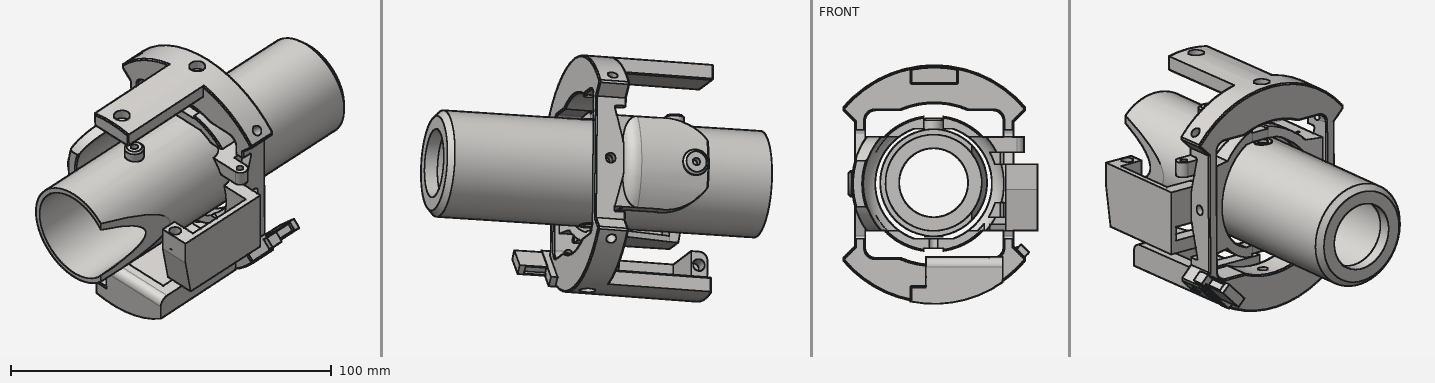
import cadquery as cq
import math


TUBE_RADIUS = 16.7
TUBE_FRONT = -54.8
TUBE_BACK = 50.2
TUBE_BORE_RADIUS = 15.0
TUBE_MOUTH_RADIUS = 10.7
TUBE_END_WALL = 4.2
TUBE_END_CHAMFER = 1.9
SCARF_X = 11.9
SCARF_END_Y = -29.2
PIVOT_PAD_RADIUS = 2.8
PIVOT_PAD_REACH = 16.8
STUD_Y = -27.9
STUD_RADIUS = 3.0
STUD_TOP = 20.2
STUD_CHAMFER = 0.6
STUD_HOLE_RADIUS = 1.2
STUD_HOLE_DEPTH = 3.2
PIVOT_HOLE_RADIUS = 1.6

CRADLE_DROP = 0.3
RING_OUTER = 21.2
RING_INNER = 18.2
RING_FLAT = 17.1
RING_NOTCH_FLOOR = 20.2
RING_NOTCH_WIDTH = 6.1
RING_GROOVE_RADIUS = 1.4
CHEEK_X = 20.9
RING_FRONT = -4.8
RING_BACK_CENTRE = -1.5
RING_BACK_SIDE = 3.4
RING_EDGE_CHAMFER = 0.4
CRADLE_HALF_HEIGHT = 14.6

SHELL_OUTER = 25.5
SHELL_INNER = 21.9
SHELL_SHOULDER = 4.9
FLARE_RADIUS = 6.6
WING_TIP_Y = -31.8
WING_STRAIGHT_Y = -16.6
WING_TIP_HALF_HEIGHT = 7.1
WING_CURVE_Y = -28.4
WING_CURVE_HALF_HEIGHT = 11.1
WING_TIP_CHAMFER = 0.4
KNOB_Y = -27.3
KNOB_RADIUS = 4.1
KNOB_FACE = 26.6
KNOB_CHAMFER = 0.8
KNOB_HOLE_DEPTH = 3.2

TRAY_OUTER_X = 32.4
TRAY_TOP = 6.1
TRAY_FRONT = -38.1
TRAY_WALL = 1.9
TRAY_PAD_X = 22.5
TRAY_ROOT_X = 15.8
TRAY_FLOOR_X = 17.5
REAR_PAD_BOTTOM = -5.9
REAR_SILL_HEIGHT = 4.2
REAR_PAD_FRONT = -9.5
FRONT_PAD_BACK = -32.9
PAD_HOLE_RADIUS = 1.9
PAD_HOLE_DEPTH = 6.3
TRAY_HOLE_X = 25.7
TRAY_HOLE_Y = -35.9
FRONT_SLOPE_TOP = -1.7
FRONT_SLOPE_RUN = 2.3
EAR_THICKNESS = 4.8
EAR_ROOT_X = 12.6
EAR_END_X = 28.2
EAR_HOLE_RADIUS = 1.0

FRAME_X = 0.2
FRAME_Z = -0.4
FRAME_TILT = 0.5
FRAME_RADIUS = 37.1
FRAME_HALF_DEPTH = 4.9
LUG_X = 28.4
LUG_TIP = 0.8
BAR_OUTER = 24.8
BAR_INNER = 21.5
WINDOW_HALF_HEIGHT = 23.0
WINDOW_FILLET = 3.2
RELIEF_HALF_WIDTH = 10.6
RELIEF_TOP = 25.2
FRAME_CHAMFER = 0.4
BAR_NOTCH_HALF_HEIGHT = 17.0
BAR_NOTCH_Y = -1.0
BAR_CREST_Y = -4.2
BAR_CREST_HALF_HEIGHT = 5.0
BAR_NOTCH_FILLET = 0.7
ARM_HALF_WIDTH = 7.5
ARM_FRONT = -38.2
UPPER_ARM_BOTTOM = 31.5
LOWER_ARM_TOP = -31.6
BLOCK_LEFT = -2.6
BLOCK_RIGHT = 21.3
BLOCK_TOP = -22.6
BLOCK_WALL = 4.2
BLOCK_FILLET = 2.8
BLOCK_HOLE_Z = -26.9
BLOCK_HOLE_YS = (-7.0, -35.4)
COUNTERBORE_RADIUS = 2.5
COUNTERBORE_DEPTH = 3.2
ARM_HOLE_Y = -33.4
SIDE_HOLE_RADIUS = 1.6

LUG_ANGLE = 45.0
PLUG_FRONT = 3.3
PLUG_FLANGE_BACK = 7.4
PLUG_BACK = 16.5
PLUG_X = 23.2
PLUG_Z = -25.8
FLANGE_WIDTH = 3.6
FLANGE_LENGTH = 15.2
PLUG_WIDTH = 3.4
PLUG_LENGTH = 8.6
PLUG_SHIFT_IN = 0.4
PLUG_SHIFT_ALONG = 1.9
PLUG_RECESS_DEPTH = 1.3
PLUG_RECESS_WIDTH = 2.5
PLUG_RECESS_BACK = 14.5

REACH = 84.0


def box(x0, x1, y0, y1, z0, z1):
    return cq.Workplane("XY").box(x1 - x0, y1 - y0, z1 - z0, centered=False).translate((x0, y0, z0))


def rod(radius, start, direction, length):
    return cq.Workplane(cq.Solid.makeCylinder(radius, length, cq.Vector(*start), cq.Vector(*direction)))


def disc_y(radius, y0, y1):
    return rod(radius, (0, y0, 0), (0, 1, 0), y1 - y0)


def make_tube():
    tube = disc_y(TUBE_RADIUS, TUBE_FRONT, TUBE_BACK).faces(">Y").chamfer(TUBE_END_CHAMFER)
    pads = rod(PIVOT_PAD_RADIUS, (0, 0, -PIVOT_PAD_REACH), (0, 0, 1), 2 * PIVOT_PAD_REACH)
    stud = rod(STUD_RADIUS, (0, STUD_Y, 0), (0, 0, 1), STUD_TOP).faces(">Z").chamfer(STUD_CHAMFER)
    tube = tube.union(pads).union(stud)

    tube = tube.cut(disc_y(TUBE_BORE_RADIUS, TUBE_FRONT, TUBE_BACK - TUBE_END_WALL))
    tube = tube.cut(disc_y(TUBE_MOUTH_RADIUS, TUBE_FRONT, TUBE_BACK))
    scarf = (
        cq.Workplane("XY")
        .moveTo(SCARF_X, TUBE_FRONT)
        .lineTo(TUBE_RADIUS, SCARF_END_Y)
        .lineTo(REACH, SCARF_END_Y)
        .lineTo(REACH, TUBE_FRONT)
        .close()
        .extrude(REACH, both=True)
    )
    tube = tube.cut(scarf)
    tube = tube.cut(rod(PIVOT_HOLE_RADIUS, (0, 0, -REACH / 2), (0, 0, 1), REACH))
    return tube.cut(rod(STUD_HOLE_RADIUS, (0, STUD_Y, STUD_TOP), (0, 0, -1), STUD_HOLE_DEPTH))


def ring_bore():
    """Round bore with a flat above and below."""
    between_flats = box(-REACH, REACH, -REACH, REACH, -RING_FLAT, RING_FLAT)
    return disc_y(RING_INNER, -REACH, REACH).intersect(between_flats)


def flare():
    """Rounded widening from the ring bore to the inside of the shell, over the cradle height."""
    centre_r = SHELL_INNER - FLARE_RADIUS
    start_angle = math.acos((RING_INNER - centre_r) / FLARE_RADIUS)

    def on_arc(angle):
        return centre_r + FLARE_RADIUS * math.cos(angle), REAR_PAD_FRONT + FLARE_RADIUS * math.sin(angle)

    start = on_arc(start_angle)
    turned = (
        cq.Workplane("XY")
        .moveTo(0, start[1])
        .lineTo(*start)
        .threePointArc(on_arc(start_angle / 2), on_arc(0))
        .lineTo(0, REAR_PAD_FRONT)
        .close()
        .revolve(360, (0, 0), (0, 1))
    )
    height = box(-REACH, REACH, -REACH, REACH, -CRADLE_HALF_HEIGHT, CRADLE_HALF_HEIGHT)
    return turned.intersect(height)


def make_ring():
    ring = disc_y(RING_OUTER, RING_FRONT, RING_BACK_SIDE).faces("<Y").chamfer(RING_EDGE_CHAMFER)
    cheeks = box(-CHEEK_X, CHEEK_X, RING_FRONT, RING_BACK_SIDE, -CRADLE_HALF_HEIGHT, CRADLE_HALF_HEIGHT)
    ring = ring.union(cheeks)
    half_notch = RING_NOTCH_WIDTH / 2
    plan_outline = (
        cq.Workplane("XY")
        .moveTo(-REACH, RING_FRONT)
        .lineTo(REACH, RING_FRONT)
        .lineTo(REACH, RING_BACK_SIDE)
        .lineTo(CHEEK_X, RING_BACK_SIDE)
        .lineTo(half_notch, RING_BACK_CENTRE)
        .lineTo(-half_notch, RING_BACK_CENTRE)
        .lineTo(-CHEEK_X, RING_BACK_SIDE)
        .lineTo(-REACH, RING_BACK_SIDE)
        .close()
        .extrude(REACH, both=True)
    )
    ring = ring.intersect(plan_outline)
    for side in (1, -1):
        notch_floor = sorted((side * RING_NOTCH_FLOOR, side * REACH))
        ring = ring.cut(box(-half_notch, half_notch, -REACH, REACH, *notch_floor))
    ring = ring.cut(rod(RING_GROOVE_RADIUS, (0, RING_FRONT, 0), (0, 0, -1), REACH))
    return ring.cut(rod(SIDE_HOLE_RADIUS, (-REACH / 2, 0, 0), (1, 0, 0), REACH))


def make_wing():
    turn = SHELL_SHOULDER * (1 - math.sqrt(0.5))
    shell = (
        cq.Workplane("XY")
        .moveTo(RING_INNER, RING_FRONT)
        .lineTo(SHELL_OUTER - SHELL_SHOULDER, RING_FRONT)
        .threePointArc((SHELL_OUTER - turn, RING_FRONT - turn), (SHELL_OUTER, RING_FRONT - SHELL_SHOULDER))
        .lineTo(SHELL_OUTER, WING_TIP_Y)
        .lineTo(SHELL_INNER, WING_TIP_Y)
        .lineTo(SHELL_INNER, REAR_PAD_FRONT)
        .lineTo(RING_INNER, REAR_PAD_FRONT)
        .close()
        .revolve(360, (0, 0), (0, 1))
    )
    knob_base = (SHELL_INNER + SHELL_OUTER) / 2
    knob = (
        rod(KNOB_RADIUS, (-knob_base, KNOB_Y, 0), (-1, 0, 0), KNOB_FACE - knob_base)
        .faces("<X")
        .chamfer(KNOB_CHAMFER)
    )
    outline = (
        cq.Workplane("YZ")
        .moveTo(RING_FRONT, -CRADLE_HALF_HEIGHT)
        .lineTo(WING_STRAIGHT_Y, -CRADLE_HALF_HEIGHT)
        .threePointArc((WING_CURVE_Y, -WING_CURVE_HALF_HEIGHT), (WING_TIP_Y, -WING_TIP_HALF_HEIGHT))
        .lineTo(WING_TIP_Y, WING_TIP_HALF_HEIGHT)
        .threePointArc((WING_CURVE_Y, WING_CURVE_HALF_HEIGHT), (WING_STRAIGHT_Y, CRADLE_HALF_HEIGHT))
        .lineTo(RING_FRONT, CRADLE_HALF_HEIGHT)
        .close()
        .extrude(-REACH)
    )
    root = box(-CHEEK_X, -RING_INNER, REAR_PAD_FRONT, RING_FRONT, -CRADLE_HALF_HEIGHT, CRADLE_HALF_HEIGHT)
    wing = shell.intersect(outline)
    wing = wing.faces("<Y").edges("%CIRCLE").chamfer(WING_TIP_CHAMFER).union(root).union(knob)
    return wing.cut(rod(STUD_HOLE_RADIUS, (-KNOB_FACE, KNOB_Y, 0), (1, 0, 0), KNOB_HOLE_DEPTH))


def make_tray():
    bottom = -CRADLE_HALF_HEIGHT
    floor = (
        cq.Workplane("XY", origin=(0, 0, bottom))
        .polyline(
            [
                (TRAY_ROOT_X, RING_FRONT),
                (TRAY_OUTER_X, RING_FRONT),
                (TRAY_OUTER_X, TRAY_FRONT),
                (TRAY_PAD_X, TRAY_FRONT),
                (TRAY_PAD_X, FRONT_PAD_BACK),
                (TRAY_FLOOR_X, REAR_PAD_FRONT),
                (TRAY_ROOT_X, REAR_PAD_FRONT),
            ]
        )
        .close()
        .extrude(TRAY_WALL)
    )
    outer_wall = box(TRAY_OUTER_X - TRAY_WALL, TRAY_OUTER_X, TRAY_FRONT, RING_FRONT, bottom, TRAY_TOP)
    rear_pad = box(TRAY_ROOT_X, TRAY_OUTER_X, REAR_PAD_FRONT, RING_FRONT, REAR_PAD_BOTTOM, TRAY_TOP)
    sill = box(TRAY_ROOT_X, TRAY_OUTER_X, REAR_PAD_FRONT, RING_FRONT, bottom, bottom + REAR_SILL_HEIGHT)
    front_pad = box(TRAY_PAD_X, TRAY_OUTER_X, TRAY_FRONT, FRONT_PAD_BACK, bottom, TRAY_TOP)
    pad_hole = rod(PAD_HOLE_RADIUS, (TRAY_HOLE_X, TRAY_HOLE_Y, TRAY_TOP), (0, 0, -1), PAD_HOLE_DEPTH)
    front_pad = front_pad.cut(pad_hole)
    tray = floor.union(outer_wall).union(rear_pad).union(sill).union(front_pad)
    slope = (
        cq.Workplane("YZ")
        .polyline([(TRAY_FRONT, FRONT_SLOPE_TOP), (TRAY_FRONT, bottom), (TRAY_FRONT + FRONT_SLOPE_RUN, bottom)])
        .close()
        .extrude(REACH)
    )
    tray = tray.cut(slope)

    ear_radius = (RING_FRONT - REAR_PAD_FRONT) / 2
    ear_y = (RING_FRONT + REAR_PAD_FRONT) / 2
    ear_bottom = CRADLE_HALF_HEIGHT - EAR_THICKNESS
    ear_end_centre = EAR_END_X - ear_radius
    ear = box(EAR_ROOT_X, ear_end_centre, REAR_PAD_FRONT, RING_FRONT, ear_bottom, CRADLE_HALF_HEIGHT)
    ear = ear.union(rod(ear_radius, (ear_end_centre, ear_y, ear_bottom), (0, 0, 1), EAR_THICKNESS))
    ear = ear.cut(rod(EAR_HOLE_RADIUS, (TRAY_HOLE_X, ear_y, ear_bottom), (0, 0, 1), EAR_THICKNESS))
    return tray.union(ear)


def make_cradle():
    cradle = make_ring().union(make_wing()).union(make_tray())
    cradle = cradle.cut(ring_bore()).cut(flare())
    return cradle.translate((0, 0, -CRADLE_DROP))


def frame_outline():
    tip_z = math.sqrt(FRAME_RADIUS**2 - LUG_X**2)
    lug_root = tip_z - LUG_TIP - (LUG_X - BAR_OUTER)
    return (
        cq.Workplane("XZ", origin=(0, FRAME_HALF_DEPTH, 0))
        .moveTo(-LUG_X, tip_z)
        .threePointArc((0, FRAME_RADIUS), (LUG_X, tip_z))
        .lineTo(LUG_X, tip_z - LUG_TIP)
        .lineTo(BAR_OUTER, lug_root)
        .lineTo(BAR_OUTER, -lug_root)
        .lineTo(LUG_X, LUG_TIP - tip_z)
        .lineTo(LUG_X, -tip_z)
        .threePointArc((0, -FRAME_RADIUS), (-LUG_X, -tip_z))
        .lineTo(-LUG_X, LUG_TIP - tip_z)
        .lineTo(-BAR_OUTER, -lug_root)
        .lineTo(-BAR_OUTER, lug_root)
        .lineTo(-LUG_X, tip_z - LUG_TIP)
        .close()
        .extrude(2 * FRAME_HALF_DEPTH)
    )


def frame_window():
    window = box(-BAR_INNER, BAR_INNER, -REACH, REACH, -WINDOW_HALF_HEIGHT, WINDOW_HALF_HEIGHT)
    window = window.edges("|Y").fillet(WINDOW_FILLET)
    rise = RELIEF_TOP - WINDOW_HALF_HEIGHT
    relief_radius = (RELIEF_HALF_WIDTH**2 + rise**2) / (2 * rise)
    for side in (1, -1):
        relief = disc_y(relief_radius, -REACH, REACH).translate((0, 0, side * (RELIEF_TOP - relief_radius)))
        half = box(-BAR_INNER, BAR_INNER, -REACH, REACH, *sorted((0, side * REACH)))
        window = window.union(relief.intersect(half))
    return window


def bar_notch():
    """Material removed in front of the side bars, leaving a crest at the pivot."""
    return (
        cq.Workplane("YZ")
        .polyline(
            [
                (-REACH, -BAR_NOTCH_HALF_HEIGHT),
                (BAR_NOTCH_Y, -BAR_NOTCH_HALF_HEIGHT),
                (BAR_CREST_Y, -BAR_CREST_HALF_HEIGHT),
                (BAR_CREST_Y, BAR_CREST_HALF_HEIGHT),
                (BAR_NOTCH_Y, BAR_NOTCH_HALF_HEIGHT),
                (-REACH, BAR_NOTCH_HALF_HEIGHT),
            ]
        )
        .close()
        .extrude(REACH, both=True)
        .edges("|X and >Y")
        .fillet(BAR_NOTCH_FILLET)
    )


def make_upper_arm():
    arm = box(-ARM_HALF_WIDTH, ARM_HALF_WIDTH, ARM_FRONT, 0, UPPER_ARM_BOTTOM, REACH)
    arm = arm.intersect(disc_y(FRAME_RADIUS, -REACH, REACH))
    arm = arm.edges("<Y or (|Y and <Z)").chamfer(FRAME_CHAMFER)
    return arm.cut(rod(COUNTERBORE_RADIUS, (0, ARM_HOLE_Y, FRAME_RADIUS), (0, 0, -1), COUNTERBORE_DEPTH))


def make_lower_arm():
    arm = box(-ARM_HALF_WIDTH, BLOCK_RIGHT, ARM_FRONT, 0, -REACH, LOWER_ARM_TOP)
    arm = arm.edges("(>Z and (<X or <Y)) or (<X and <Y)").chamfer(FRAME_CHAMFER)
    block = box(BLOCK_LEFT, BLOCK_RIGHT, ARM_FRONT, -FRAME_HALF_DEPTH, -REACH, BLOCK_TOP)
    block = block.edges("<Y and >Z").fillet(BLOCK_FILLET)
    pocket = box(BLOCK_LEFT, BLOCK_RIGHT - BLOCK_WALL, FRONT_PAD_BACK, REAR_PAD_FRONT, LOWER_ARM_TOP, 0)
    block = block.cut(pocket)
    for y in BLOCK_HOLE_YS:
        block = block.cut(rod(PAD_HOLE_RADIUS, (BLOCK_LEFT, y, BLOCK_HOLE_Z), (1, 0, 0), PAD_HOLE_DEPTH))
    return arm.union(block).intersect(disc_y(FRAME_RADIUS, -REACH, REACH))


def make_frame():
    frame = frame_outline().cut(frame_window()).faces("<Y or >Y").edges().chamfer(FRAME_CHAMFER)
    frame = frame.cut(bar_notch()).union(make_upper_arm()).union(make_lower_arm())
    for side in (1, -1):
        rim = (0, 0, side * FRAME_RADIUS)
        inward = (0, 0, -side)
        frame = frame.cut(rod(PIVOT_HOLE_RADIUS, rim, inward, FRAME_RADIUS))
        frame = frame.cut(rod(COUNTERBORE_RADIUS, rim, inward, COUNTERBORE_DEPTH))
        frame = frame.cut(rod(SIDE_HOLE_RADIUS, (0, 0, 0), (side, 0, 0), REACH))
        for lug in (1, -1):
            frame = frame.cut(rod(PIVOT_HOLE_RADIUS, (0, 0, 0), (lug, 0, side), REACH))
    return frame.rotate((0, 0, 0), (1, 0, 0), FRAME_TILT).translate((FRAME_X, 0, FRAME_Z))


def make_connector():
    half_flange = FLANGE_WIDTH / 2
    half_span = FLANGE_LENGTH / 2
    flange = box(-half_flange, half_flange, PLUG_FRONT, PLUG_FLANGE_BACK, -half_span, half_span)
    half_width = PLUG_WIDTH / 2
    half_recess = PLUG_RECESS_WIDTH / 2
    half_length = PLUG_LENGTH / 2
    plug = box(-half_width, half_width, PLUG_FLANGE_BACK, PLUG_BACK, -half_length, half_length)
    for side in (1, -1):
        ends = sorted((side * (half_length - PLUG_RECESS_DEPTH), side * half_length))
        plug = plug.cut(box(-half_recess, half_recess, PLUG_FLANGE_BACK, PLUG_RECESS_BACK, *ends))
    connector = flange.union(plug.translate((-PLUG_SHIFT_IN, 0, PLUG_SHIFT_ALONG)))
    return connector.rotate((0, 0, 0), (0, 1, 0), LUG_ANGLE).translate((PLUG_X, 0, PLUG_Z))


tube = make_tube().solids()
cradle = make_cradle().solids()
connector = make_connector().solids()
frame = make_frame().cut(connector).solids()

result = cq.Compound.makeCompound([tube.val(), cradle.val(), frame.val(), connector.val()])